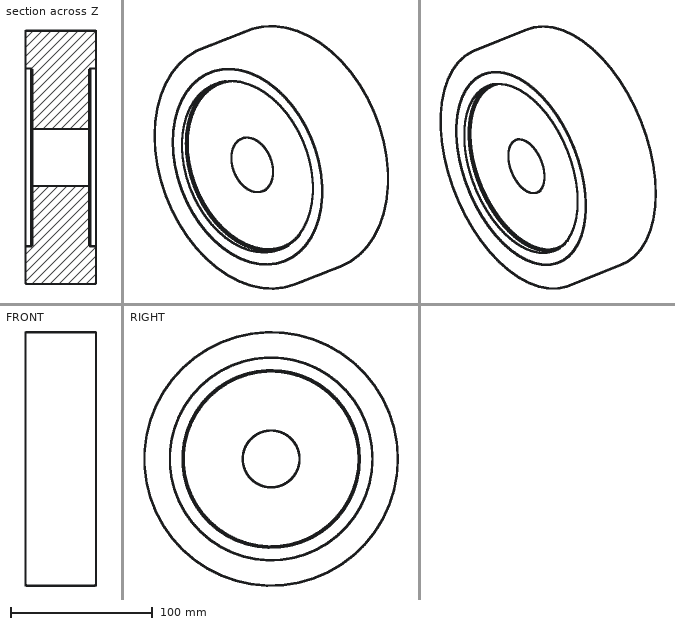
import cadquery as cq

width = 50.0
outer_diameter = 179.2
bore_diameter = 40.0
rim_edge_radius = 1.0

recess_diameter = 125.5
ledge_depth = 4.0
floor_diameter = 123.5
floor_depth = 5.0

tyre_joint_diameter = 143.2
joint_groove_width = 0.2
joint_groove_depth = 0.2


def make_disc():
    """Solid disc centred on the origin, with rounded rim edges."""
    disc = (
        cq.Workplane("YZ", origin=(-width / 2, 0, 0))
        .circle(outer_diameter / 2)
        .extrude(width)
    )
    return disc.faces("<X or >X").edges().fillet(rim_edge_radius)


def make_bore():
    """Through bore along the wheel axis."""
    return (
        cq.Workplane("YZ", origin=(-width / 2, 0, 0))
        .circle(bore_diameter / 2)
        .extrude(width)
    )


def make_recess():
    """Cutter for the stepped recess in the -X face."""
    face = cq.Workplane("YZ", origin=(-width / 2, 0, 0))
    outer_step = face.circle(recess_diameter / 2).extrude(ledge_depth)
    inner_step = face.circle(floor_diameter / 2).extrude(floor_depth)
    return outer_step.union(inner_step)


def make_joint_groove():
    """Ring cutter for the tyre joint in the -X face."""
    return (
        cq.Workplane("YZ", origin=(-width / 2, 0, 0))
        .circle((tyre_joint_diameter + joint_groove_width) / 2)
        .circle((tyre_joint_diameter - joint_groove_width) / 2)
        .extrude(joint_groove_depth)
    )


result = make_disc().cut(make_bore())
for side_cutter in (make_recess(), make_joint_groove()):
    result = result.cut(side_cutter).cut(side_cutter.mirror("YZ"))